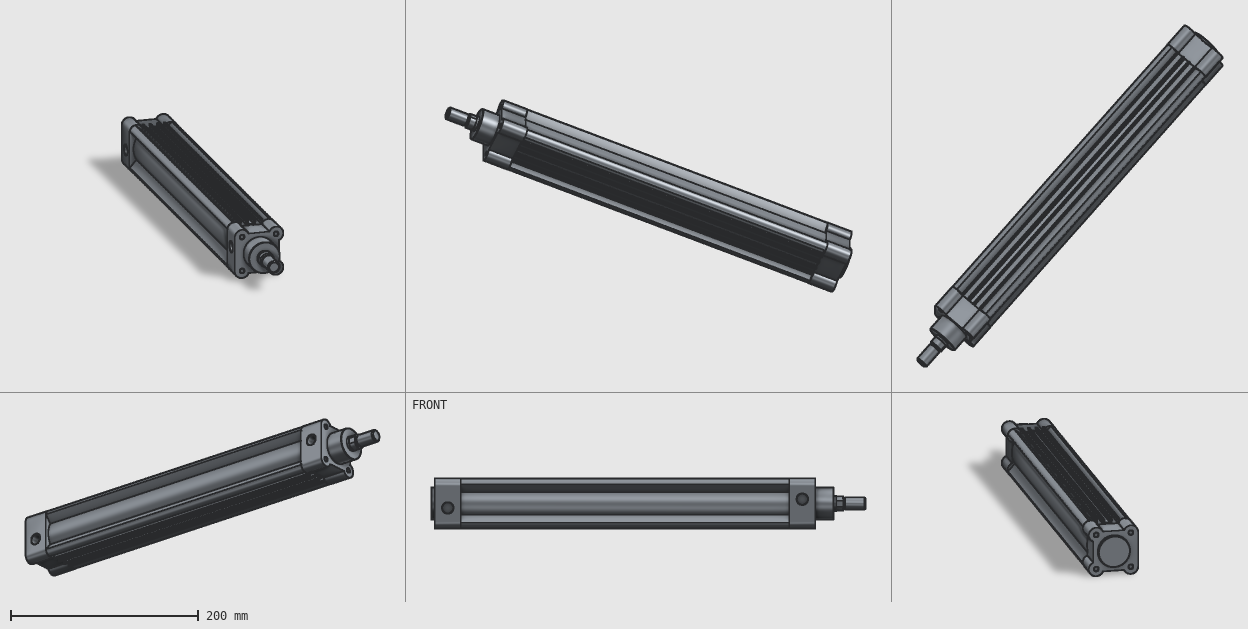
import cadquery as cq
import math

TOTAL_LENGTH = 463.0
WIDTH = 54.0
REAR_BOSS_LENGTH = 3.5
CAP_LENGTH = 28.0
FRONT_BOSS_LENGTH = 19.5
FRONT_FACE_X = 409.5

CORNER_OFFSET = 19.0
CORNER_RADIUS = WIDTH / 2 - CORNER_OFFSET
CAP_CORE_HALF = 22.0
BOSS_DIAMETER = 34.5
BOSS_CHAMFER = 0.5
HOLE_CHAMFER = 0.5
SCREW_HOLE_DIAMETER = 4.5
SCREW_HOLE_DEPTH = 14.0
PORT_DIAMETER = 11.5
PORT_DEPTH = 11.5
PORT_HEIGHT = 4.5

BARREL_RADIUS = 22.5
RAIL_RADIUS = 8.0
RAIL_EDGE = 20.5
RAIL_FOOT = 12.0
SLOT_FLOOR = 21.8
PAD_TOP = 23.5
PAD_HALF_WIDTH = 2.5
RIB_TOP = 27.0
RIB_STEM_WIDTH = 1.0
RIB_HEAD_WIDTH = 2.0
RIB_HEAD_HEIGHT = 1.5
INNER_RIB_OFFSET = 4.0
OUTER_RIB_OFFSET = RAIL_FOOT

SHANK_DIAMETER = 16.0
SHANK_LENGTH = 3.0
WRENCH_DIAMETER = 15.7
WRENCH_LENGTH = 7.5
FLAT_DISTANCE = 14.5
NECK_DIAMETER = 10.5
NECK_LENGTH = 1.0
THREAD_DIAMETER = 13.5
THREAD_CHAMFER = 1.5

REAR_CAP_END_X = REAR_BOSS_LENGTH + CAP_LENGTH
FRONT_CAP_START_X = FRONT_FACE_X - CAP_LENGTH
FRONT_BOSS_END_X = FRONT_FACE_X + FRONT_BOSS_LENGTH
BARREL_LENGTH = FRONT_CAP_START_X - REAR_CAP_END_X
WRENCH_START_X = FRONT_BOSS_END_X + SHANK_LENGTH
NECK_START_X = WRENCH_START_X + WRENCH_LENGTH
THREAD_START_X = NECK_START_X + NECK_LENGTH
THREAD_LENGTH = TOTAL_LENGTH - THREAD_START_X
CORNERS = [(y, z) for y in (-CORNER_OFFSET, CORNER_OFFSET) for z in (-CORNER_OFFSET, CORNER_OFFSET)]


def section(x):
    """Workplane across the cylinder axis at station x; local axes are Y and Z."""
    return cq.Workplane("YZ", origin=(x, 0, 0))


def cap_block(start_x):
    """Cap body: a square core, four round corner lobes and a full-height flat on the -Y side."""
    core_side = 2 * CAP_CORE_HALF
    block = section(start_x).rect(core_side, core_side).extrude(CAP_LENGTH)
    lobes = section(start_x).pushPoints(CORNERS).circle(CORNER_RADIUS).extrude(CAP_LENGTH)
    port_wall = (
        section(start_x)
        .center(-(WIDTH / 2 + CORNER_OFFSET) / 2, 0)
        .rect(CORNER_RADIUS, 2 * CORNER_OFFSET)
        .extrude(CAP_LENGTH)
    )
    return block.union(lobes).union(port_wall)


def blind_hole(diameter, depth, mouth_center, inward):
    """Cutter for a blind hole with a chamfered mouth, running along the unit direction inward."""
    radius = diameter / 2
    start = cq.Vector(*mouth_center)
    axis = cq.Vector(*inward)
    bore = cq.Solid.makeCylinder(radius, depth, start, axis)
    mouth = cq.Solid.makeCone(radius + HOLE_CHAMFER, radius, HOLE_CHAMFER, start, axis)
    return cq.Workplane(bore).union(cq.Workplane(mouth))


def port(start_x, height):
    """Air port entering the -Y face at the middle of the cap length."""
    mouth_center = (start_x + CAP_LENGTH / 2, -WIDTH / 2, height)
    return blind_hole(PORT_DIAMETER, PORT_DEPTH, mouth_center, (0, 1, 0))


def cut_screw_holes(cap, outer_x, inward):
    """Cut the four corner holes into the outer face at outer_x; inward is +1 or -1 along X."""
    for y, z in CORNERS:
        cap = cap.cut(blind_hole(SCREW_HOLE_DIAMETER, SCREW_HOLE_DEPTH, (outer_x, y, z), (inward, 0, 0)))
    return cap


def make_rear_cap():
    """Rear cap with a short boss and its port below the axis."""
    boss = (
        section(REAR_BOSS_LENGTH)
        .circle(BOSS_DIAMETER / 2)
        .extrude(-REAR_BOSS_LENGTH)
        .faces("<X")
        .chamfer(BOSS_CHAMFER)
    )
    cap = cap_block(REAR_BOSS_LENGTH).union(boss).cut(port(REAR_BOSS_LENGTH, -PORT_HEIGHT))
    return cut_screw_holes(cap, REAR_BOSS_LENGTH, 1)


def make_front_cap():
    """Front cap with a long boss and its port above the axis."""
    boss = (
        section(FRONT_FACE_X)
        .circle(BOSS_DIAMETER / 2)
        .extrude(FRONT_BOSS_LENGTH)
        .faces(">X")
        .chamfer(BOSS_CHAMFER)
    )
    cap = cap_block(FRONT_CAP_START_X).union(boss).cut(port(FRONT_CAP_START_X, PORT_HEIGHT))
    return cut_screw_holes(cap, FRONT_FACE_X, -1)


def make_rail():
    """Upper +Y corner rail: a round outer nose with two straight flanks running in to the tube."""
    nose_reach = CORNER_OFFSET + math.sqrt(RAIL_RADIUS**2 - (RAIL_EDGE - CORNER_OFFSET) ** 2)
    nose_middle = CORNER_OFFSET + RAIL_RADIUS * math.sqrt(0.5)
    foot_reach = math.sqrt(BARREL_RADIUS**2 - RAIL_FOOT**2)
    return (
        section(REAR_CAP_END_X)
        .moveTo(nose_reach, RAIL_EDGE)
        .threePointArc((nose_middle, nose_middle), (RAIL_EDGE, nose_reach))
        .lineTo(RAIL_FOOT, foot_reach)
        .lineTo(RAIL_FOOT, RAIL_FOOT)
        .lineTo(foot_reach, RAIL_FOOT)
        .close()
        .extrude(BARREL_LENGTH)
    )


def barrel_bar(width, bottom, top, offset=0.0):
    """Rectangular bar as long as the barrel, at sideways position offset, from height bottom to top."""
    return (
        section(REAR_CAP_END_X)
        .center(offset, (bottom + top) / 2)
        .rect(width, top - bottom)
        .extrude(BARREL_LENGTH)
    )


def make_slot_lips():
    """Upper slot walls: a raised middle pad and four thin ribs with wider heads."""
    lips = barrel_bar(2 * PAD_HALF_WIDTH, 0, PAD_TOP)
    for offset in (-OUTER_RIB_OFFSET, -INNER_RIB_OFFSET, INNER_RIB_OFFSET, OUTER_RIB_OFFSET):
        lips = lips.union(barrel_bar(RIB_STEM_WIDTH, 0, RIB_TOP, offset))
        lips = lips.union(barrel_bar(RIB_HEAD_WIDTH, RIB_TOP - RIB_HEAD_HEIGHT, RIB_TOP, offset))
    return lips


def make_barrel():
    """Extruded profile: tube with flat slot floors, four corner rails and slot lips above and below."""
    barrel = section(REAR_CAP_END_X).circle(BARREL_RADIUS).extrude(BARREL_LENGTH)
    floor_block = barrel_bar(2 * RAIL_FOOT, -SLOT_FLOOR, SLOT_FLOOR)
    slot_space = barrel_bar(2 * RAIL_FOOT, SLOT_FLOOR, RIB_TOP)
    barrel = barrel.cut(slot_space).cut(slot_space.mirror("XY")).union(floor_block)

    rail = make_rail()
    rail_pair = rail.union(rail.mirror("XZ"))
    upper_features = rail_pair.union(make_slot_lips())
    return barrel.union(upper_features).union(upper_features.mirror("XY"))


def make_rod():
    """Rod end: shank, wrench flats on the +Y and -Y sides, undercut neck and chamfered thread stud."""
    shank = section(FRONT_BOSS_END_X).circle(SHANK_DIAMETER / 2).extrude(SHANK_LENGTH)
    wrench_round = section(WRENCH_START_X).circle(WRENCH_DIAMETER / 2).extrude(WRENCH_LENGTH)
    wrench_flats = section(WRENCH_START_X).rect(FLAT_DISTANCE, WRENCH_DIAMETER).extrude(WRENCH_LENGTH)
    neck = section(NECK_START_X).circle(NECK_DIAMETER / 2).extrude(NECK_LENGTH)
    thread = (
        section(THREAD_START_X)
        .circle(THREAD_DIAMETER / 2)
        .extrude(THREAD_LENGTH)
        .faces("<X or >X")
        .chamfer(THREAD_CHAMFER)
    )
    return shank.union(wrench_round.intersect(wrench_flats)).union(neck).union(thread)


rear_cap = make_rear_cap()
barrel = make_barrel()
front_cap = make_front_cap()
rod = make_rod()

result = cq.Compound.makeCompound([rear_cap.val(), barrel.val(), front_cap.val(), rod.val()])